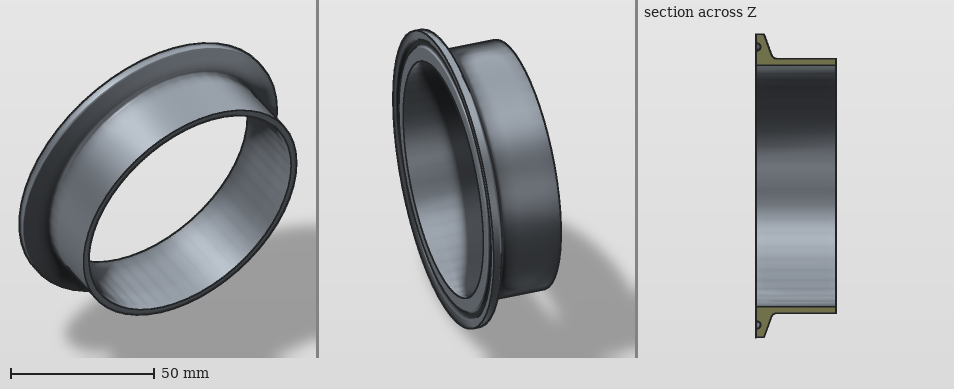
import cadquery as cq
import math

length = 28.0
flange_radius = 106 / 2
tube_radius = 88.9 / 2
bore_radius = 84.3 / 2

rim_width = 2.3
rim_round = 0.7
back_fillet = 2.0
back_angle = math.radians(20)

groove_radius = 48.5
groove_half_width = 2.07
groove_bottom_half_width = 1.2
groove_depth = 1.6


def arc_point(center, radius, angle):
    """Point on a circle in the (x, radial) half-plane."""
    return (center[0] + radius * math.cos(angle), center[1] + radius * math.sin(angle))


def make_body():
    """Revolve the flange and tube, with tangent arcs at both ends of the cone."""
    rim_center = (rim_width, flange_radius - rim_round)
    cone_start = arc_point(rim_center, rim_round, back_angle)
    fillet_center_radial = tube_radius + back_fillet
    cone_end_radial = fillet_center_radial - back_fillet * math.sin(back_angle)
    cone_end_x = cone_start[0] + (cone_start[1] - cone_end_radial) * math.tan(back_angle)
    fillet_center = (cone_end_x + back_fillet * math.cos(back_angle), fillet_center_radial)
    rim_middle_angle = (math.pi / 2 + back_angle) / 2
    fillet_middle_angle = math.pi + rim_middle_angle

    profile = (
        cq.Workplane("XY")
        .moveTo(0, bore_radius)
        .lineTo(0, flange_radius)
        .lineTo(rim_width, flange_radius)
        .threePointArc(arc_point(rim_center, rim_round, rim_middle_angle), cone_start)
        .lineTo(cone_end_x, cone_end_radial)
        .threePointArc(
            arc_point(fillet_center, back_fillet, fillet_middle_angle),
            (fillet_center[0], tube_radius),
        )
        .lineTo(length, tube_radius)
        .lineTo(length, bore_radius)
        .close()
    )
    return profile.revolve(360, (0, 0, 0), (1, 0, 0))


def make_groove():
    """Revolve the groove: a concave bottom arc joined smoothly to two rounded lips."""
    sweep = 2 * math.atan(groove_depth / groove_half_width)
    lip_round = (groove_half_width - groove_bottom_half_width) / math.sin(sweep)
    lip_depth = lip_round * (1 - math.cos(sweep))
    lip_middle_x = lip_round * (1 - math.cos(sweep / 2))
    lip_middle_offset = groove_half_width - lip_round * math.sin(sweep / 2)

    profile = (
        cq.Workplane("XY")
        .moveTo(0, groove_radius - groove_half_width)
        .threePointArc(
            (lip_middle_x, groove_radius - lip_middle_offset),
            (lip_depth, groove_radius - groove_bottom_half_width),
        )
        .threePointArc(
            (groove_depth, groove_radius),
            (lip_depth, groove_radius + groove_bottom_half_width),
        )
        .threePointArc(
            (lip_middle_x, groove_radius + lip_middle_offset),
            (0, groove_radius + groove_half_width),
        )
        .close()
    )
    return profile.revolve(360, (0, 0, 0), (1, 0, 0))


result = make_body().cut(make_groove())